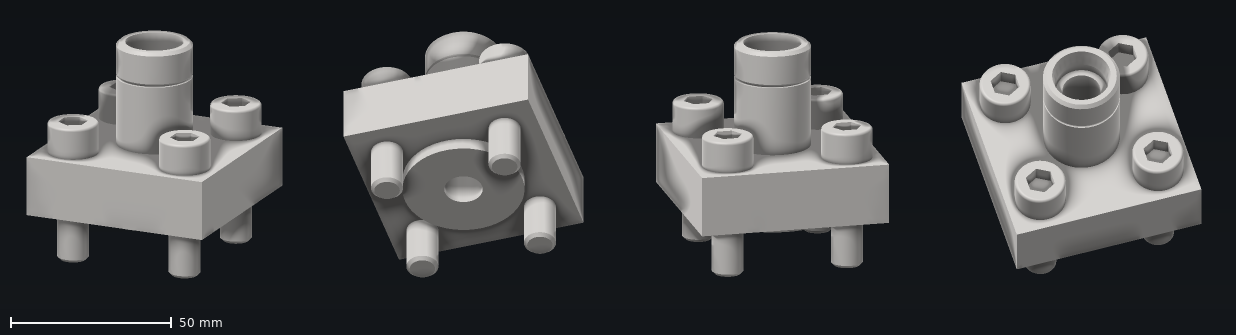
import cadquery as cq
import math

plate_side = 60.0
plate_thickness = 19.0
boss_diameter = 38.0
boss_height = 4.0

tube_diameter = 24.0
bore_diameter = 12.0
edge_chamfer = 1.0
groove_drop = 11.2
mouth_diameter = 18.3
socket_diameter = 16.0
cone_depth = 5.5
socket_depth = 8.5

screw_spacing = 38.2
shank_diameter = 10.0
head_diameter = 16.0
head_height = 10.05
head_fillet = 1.0
hex_across_flats = 8.0
hex_depth = 5.0
shank_projection = 16.0

overall_height = 68
tube_top = overall_height - shank_projection


def make_flange():
    """Plate with its round boss underneath."""
    plate = cq.Workplane("XY").box(plate_side, plate_side, plate_thickness, centered=(True, True, False))
    boss = cq.Workplane("XY").circle(boss_diameter / 2).extrude(-boss_height)
    return plate.union(boss)


def make_tube():
    """Revolved tube with a chamfered mouth and a V-shaped groove above a flat ledge."""
    radius = tube_diameter / 2
    neck_radius = radius - edge_chamfer
    ledge = tube_top - groove_drop
    profile = (
        cq.Workplane("XZ")
        .lineTo(radius, 0)
        .lineTo(radius, ledge)
        .lineTo(neck_radius, ledge)
        .lineTo(radius, ledge + edge_chamfer)
        .lineTo(radius, tube_top - edge_chamfer)
        .lineTo(neck_radius, tube_top)
        .lineTo(0, tube_top)
        .close()
    )
    return profile.revolve(360, (0, 0, 0), (0, 1, 0))


def make_passage():
    """Revolved hollow: tapered mouth, cylindrical socket and through bore."""
    bore_radius = bore_diameter / 2
    socket_radius = socket_diameter / 2
    profile = (
        cq.Workplane("XZ")
        .moveTo(0, -boss_height)
        .lineTo(bore_radius, -boss_height)
        .lineTo(bore_radius, tube_top - socket_depth)
        .lineTo(socket_radius, tube_top - socket_depth)
        .lineTo(socket_radius, tube_top - cone_depth)
        .lineTo(mouth_diameter / 2, tube_top)
        .lineTo(0, tube_top)
        .close()
    )
    return profile.revolve(360, (0, 0, 0), (0, 1, 0))


def make_screw():
    """Cap screw on the Z axis, its head seated on top of the plate."""
    shank = (
        cq.Workplane("XY")
        .workplane(offset=-shank_projection)
        .circle(shank_diameter / 2)
        .extrude(shank_projection + plate_thickness)
        .faces("<Z")
        .chamfer(edge_chamfer)
    )
    head = (
        cq.Workplane("XY")
        .workplane(offset=plate_thickness)
        .circle(head_diameter / 2)
        .extrude(head_height)
        .faces(">Z")
        .edges()
        .fillet(head_fillet)
    )
    hex_across_corners = hex_across_flats / math.cos(math.pi / 6)
    hex_socket = (
        cq.Workplane("XY")
        .workplane(offset=plate_thickness + head_height)
        .transformed(rotate=(0, 0, 90))
        .polygon(6, hex_across_corners)
        .extrude(-hex_depth)
    )
    return shank.union(head).cut(hex_socket)


result = make_flange().union(make_tube()).cut(make_passage())

screw = make_screw()
for x_side in (-1, 1):
    for y_side in (-1, 1):
        position = (x_side * screw_spacing / 2, y_side * screw_spacing / 2, 0)
        result = result.union(screw.translate(position))